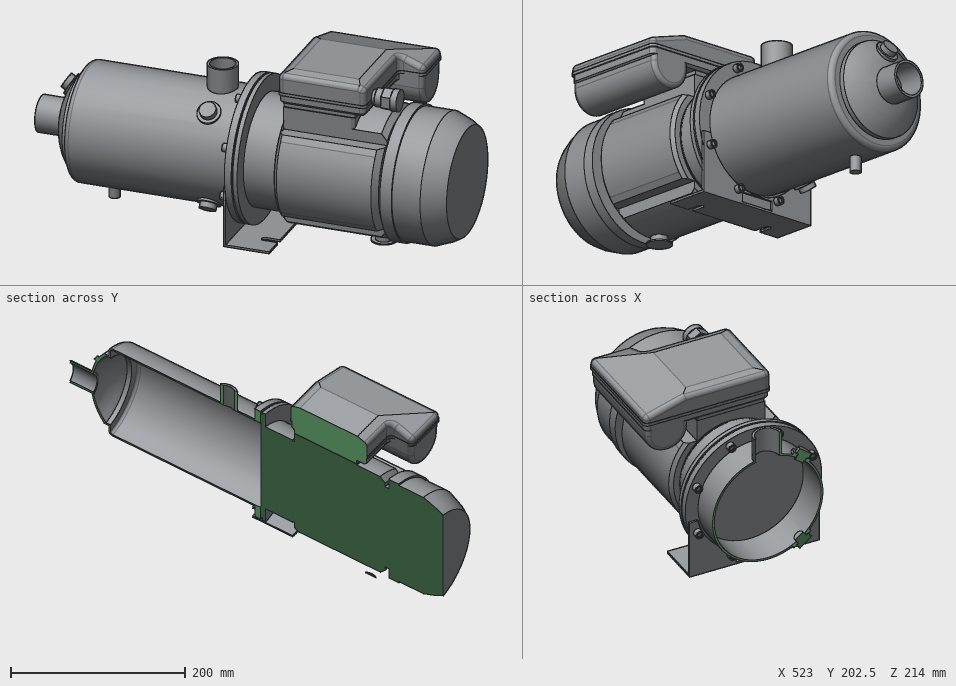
import cadquery as cq
import math


WALL = 2.9
INLET_DIAMETER = 44.5
DOME_START = 30.5
DOME_MIDDLE_X = 35.5
DOME_MIDDLE_RADIUS = 38.5
DOME_END = 47.5
DOME_DIAMETER = 116.0
SHELL_START = 54.0
SHELL_RADIUS = 71.5
SHELL_ROUND = 6.5
FLANGE_START = 258.5
FLANGE_DIAMETER = 176.5
CASING_END = 267.0
OUTLET_X = 223.0
OUTLET_DIAMETER = 36.0
OUTLET_TOP = 100.0
DRAIN_X = 90.0
DRAIN_DIAMETER = 13.0

BOLT_COUNT = 8
BOLT_CIRCLE_RADIUS = 80.0
BOLT_DIAMETER = 7.0
BOLT_HEAD_DIAMETER = 10.0
BOLT_HEAD_HEIGHT = 7.0
BOLT_SOCKET_DIAMETER = 7.0
BOLT_SOCKET_DEPTH = 2.0

PLUG_BOSS_DIAMETER = 28.0
PLUG_BOSS_HEIGHT = 1.5
PLUG_HOLE_DIAMETER = 13.0
PLUG_HEAD_DIAMETER = 20.0
PLUG_HEAD_HEIGHT = 7.0
PLUG_DEPTH = 6.5
SIDE_PLUG_ANGLE = 52
DOME_PLUG_X = 37.5
DOME_PLUG_Z = 43.0
DOME_PLUG_ANGLE = 32

GROUND_Z = -90.0
SHEET = 2.5
BRACKET_WIDTH = 167.5
BRACKET_TOP = -15.0
BRACKET_END = 312.0
BRACKET_BORE_RADIUS = SHELL_RADIUS + 2.5
WINDOW_WIDTH = 46.5
WINDOW_TOP = -75.5
SLOT_WIDTH = 8.0
SLOT_LENGTH = 21.0
SLOT_Y = 52.5

SEAM = 2.0
SEAM_DIAMETER = 170.0
MOTOR_FLANGE_END = 274.0
ADAPTER_DIAMETER = 135.5
ADAPTER_END = 312.0
CORE_DIAMETER = 133.0
FRAME_START = 314.5
FRAME_END = 441.5
FRAME_RADIUS = 78.5
FRAME_START_CHAMFER = 4.0
FRAME_END_CHAMFER = 7.0
RIB_HALF_WIDTH = 44.0
SHELF_Z = 51.5
BEVEL_Z = 44.5
PEDESTAL_END = 402.0
PEDESTAL_ROUND = 3.0
PEDESTAL_TOP = 79.0
FAN_BAND_START = 446.5
FAN_BAND_END = 461.0
FAN_BAND_RADIUS = 81.0
FAN_RADIUS = 79.0
FAN_TAPER_START = 495.5
FAN_TAPER_MIDDLE_X = 510.0
FAN_TAPER_MIDDLE_RADIUS = 74.0
FAN_END = 523.0
FAN_END_RADIUS = 66.5

FOOT_X = 421.0
FOOT_NECK_DIAMETER = 10.0
FOOT_DIAMETER = 20.5
FOOT_TOP = -80.5
FOOT_PLATE_DIAMETER = 30.5
FOOT_PLATE_THICKNESS = 1.5

BOX_START = 308.5
BOX_END = 417.0
BOX_WING_END = 449.0
BOX_FRONT_Y = -49.0
BOX_WIDTH_BEYOND_FLANGE = 202.5
BOX_BACK_Y = BOX_WIDTH_BEYOND_FLANGE - FLANGE_DIAMETER / 2
WING_FRONT_Y = 57.5
BOX_CORNER_RADIUS = 6.5
BASE_INSET = 1.5
BASE_CHAMFER = 3.0
BASE_BOTTOM = 84.0
RIM_BOTTOM = 95.0
LID_BOTTOM = 99.0
LID_INSET = 0.5
LID_TOP = 124.0
ROOF_START = 322.0
ROOF_END = 403.0
ROOF_FRONT_Y = -32.5
ROOF_BACK_Y = 54.5
START_DROP = 3.5
FRONT_DROP = 3.0
BACK_DROP = 17.5
WING_DROP = 18.0
HOUSING_RADIUS = 26.5
HOUSING_CENTRE_Z = 79.5
HOUSING_ROUND = 5.0

GLAND_Y = -20.5
GLAND_Z = 99.0
GLAND_NECK_DIAMETER = 18.0
GLAND_COLLAR_START = 420.5
GLAND_COLLAR_DIAMETER = 22.0
GLAND_NUT_DIAMETER = 27.0
GLAND_NUT_START = 429.0
GLAND_NUT_END = 440.5
GLAND_CAP_DIAMETER = 26.0
GLAND_END = 448.5


def x_cylinder(start, end, diameter, y=0.0, z=0.0):
    """Cylinder along X between two X positions."""
    return cq.Workplane("YZ", origin=(start, y, z)).circle(diameter / 2).extrude(end - start)


def z_cylinder(x, bottom, top, diameter):
    """Cylinder along Z on the plane of symmetry."""
    return cq.Workplane("XY", origin=(x, 0, bottom)).circle(diameter / 2).extrude(top - bottom)


def block(x_range, y_range, z_range):
    """Axis-aligned box from its three pairs of limits."""
    size = [b - a for a, b in (x_range, y_range, z_range)]
    corner = (x_range[0], y_range[0], z_range[0])
    return cq.Workplane("XY").box(*size, centered=False).translate(corner)


def revolve_about_x(profile):
    """Turn a closed profile, drawn as X and radius, about the shaft axis."""
    return profile.close().revolve(360, (0, 0, 0), (1, 0, 0))


def bolt_points():
    """Y and Z of each flange bolt."""
    step = 360 / BOLT_COUNT
    angles = [math.radians(step * (i + 0.5)) for i in range(BOLT_COUNT)]
    return [(BOLT_CIRCLE_RADIUS * math.cos(a), BOLT_CIRCLE_RADIUS * math.sin(a)) for a in angles]


def plug_planes():
    """Seat planes of the plugs, on the casing surface with the normal pointing outward."""
    planes = []
    for angle in (SIDE_PLUG_ANGLE, -SIDE_PLUG_ANGLE):
        y = -math.cos(math.radians(angle))
        z = math.sin(math.radians(angle))
        seat = (OUTLET_X, SHELL_RADIUS * y, SHELL_RADIUS * z)
        planes.append(cq.Plane(origin=seat, xDir=(1, 0, 0), normal=(0, y, z)))
    tilt = math.radians(DOME_PLUG_ANGLE)
    dome_normal = (-math.cos(tilt), 0, math.sin(tilt))
    dome_seat = (DOME_PLUG_X, 0, DOME_PLUG_Z)
    planes.append(cq.Plane(origin=dome_seat, xDir=(0, 1, 0), normal=dome_normal))
    return planes


def casing_form(inset):
    """Dome, neck and shell as one turned solid, shrunk inward by the given inset."""
    shell = SHELL_RADIUS - inset
    shell_start = SHELL_START + inset
    corner = SHELL_ROUND - inset
    bend = corner * (1 - math.sqrt(0.5))
    dome_middle = (DOME_MIDDLE_X + inset, DOME_MIDDLE_RADIUS - inset / 2)
    dome_radius = DOME_DIAMETER / 2 - inset
    profile = (
        cq.Workplane("XY")
        .moveTo(DOME_START + inset, 0)
        .lineTo(DOME_START + inset, INLET_DIAMETER / 2)
        .threePointArc(dome_middle, (DOME_END + inset, dome_radius))
        .lineTo(shell_start, dome_radius)
        .lineTo(shell_start, shell - corner)
        .threePointArc((shell_start + bend, shell - bend), (shell_start + corner, shell))
        .lineTo(CASING_END, shell)
        .lineTo(CASING_END, 0)
    )
    return revolve_about_x(profile)


def make_casing():
    """Hollow shell with flange, pipes, plug bosses and the flange bolts."""
    casing = casing_form(0)
    casing = casing.union(x_cylinder(FLANGE_START, CASING_END, FLANGE_DIAMETER))
    casing = casing.union(x_cylinder(0, DOME_END, INLET_DIAMETER))
    casing = casing.union(z_cylinder(OUTLET_X, 0, OUTLET_TOP, OUTLET_DIAMETER))
    casing = casing.union(z_cylinder(DRAIN_X, GROUND_Z, 0, DRAIN_DIAMETER))
    for plane in plug_planes():
        boss = cq.Workplane(plane).workplane(offset=-PLUG_DEPTH).circle(PLUG_BOSS_DIAMETER / 2)
        casing = casing.union(boss.extrude(PLUG_DEPTH + PLUG_BOSS_HEIGHT))
    casing = casing.cut(casing_form(WALL))
    casing = casing.cut(x_cylinder(0, DOME_END, INLET_DIAMETER - 2 * WALL))
    casing = casing.cut(z_cylinder(OUTLET_X, 0, OUTLET_TOP, OUTLET_DIAMETER - 2 * WALL))
    for plane in plug_planes():
        hole = cq.Workplane(plane).workplane(offset=-PLUG_DEPTH).circle(PLUG_HOLE_DIAMETER / 2)
        casing = casing.cut(hole.extrude(PLUG_DEPTH + PLUG_BOSS_HEIGHT))
    for y, z in bolt_points():
        head_base = FLANGE_START - SHEET if z < BRACKET_TOP else FLANGE_START
        head_top = head_base - BOLT_HEAD_HEIGHT
        casing = casing.union(x_cylinder(head_base, CASING_END, BOLT_DIAMETER, y, z))
        casing = casing.union(x_cylinder(head_top, head_base, BOLT_HEAD_DIAMETER, y, z))
        casing = casing.cut(x_cylinder(head_top, head_top + BOLT_SOCKET_DEPTH, BOLT_SOCKET_DIAMETER, y, z))
    return casing


def make_plug(plane):
    """Round-headed plug standing in one of the casing bosses."""
    shank = (
        cq.Workplane(plane).workplane(offset=-PLUG_DEPTH)
        .circle(PLUG_HOLE_DIAMETER / 2).extrude(PLUG_DEPTH + PLUG_BOSS_HEIGHT)
    )
    head = (
        cq.Workplane(plane).workplane(offset=PLUG_BOSS_HEIGHT)
        .circle(PLUG_HEAD_DIAMETER / 2).extrude(PLUG_HEAD_HEIGHT)
    )
    return shank.union(head)


def make_bracket():
    """Bent sheet foot with a window above the bend and two open slots in the base."""
    front = FLANGE_START - SHEET
    sides = (-BRACKET_WIDTH / 2, BRACKET_WIDTH / 2)
    sheet_z = (GROUND_Z, GROUND_Z + SHEET)
    upright = block((front, FLANGE_START), sides, (GROUND_Z, BRACKET_TOP))
    upright = upright.cut(x_cylinder(front, FLANGE_START, 2 * BRACKET_BORE_RADIUS))
    for y, z in bolt_points():
        if z < BRACKET_TOP:
            upright = upright.cut(x_cylinder(front, FLANGE_START, BOLT_DIAMETER, y, z))
    base = block((front, BRACKET_END), sides, sheet_z)
    window = block(
        (front, FLANGE_START), (-WINDOW_WIDTH / 2, WINDOW_WIDTH / 2), (GROUND_Z + SHEET, WINDOW_TOP)
    )
    bracket = upright.cut(window).union(base)
    slot_round_x = BRACKET_END - SLOT_LENGTH + SLOT_WIDTH / 2
    for y in (-SLOT_Y, SLOT_Y):
        slot_sides = (y - SLOT_WIDTH / 2, y + SLOT_WIDTH / 2)
        slot = block((slot_round_x, BRACKET_END), slot_sides, sheet_z)
        slot_end = z_cylinder(slot_round_x, *sheet_z, SLOT_WIDTH).translate((0, y, 0))
        bracket = bracket.cut(slot).cut(slot_end)
    return bracket


def make_frame():
    """Round motor frame with a groove and a bevel along each of its four corners."""
    frame = x_cylinder(FRAME_START, FRAME_END, 2 * FRAME_RADIUS)
    frame = frame.faces("<X").chamfer(FRAME_START_CHAMFER).faces(">X").chamfer(FRAME_END_CHAMFER)
    shelf_y = math.sqrt(FRAME_RADIUS ** 2 - SHELF_Z ** 2)
    bevel_y = math.sqrt(FRAME_RADIUS ** 2 - BEVEL_Z ** 2)
    for side in (-1, 1):
        for end in (-1, 1):
            groove = (
                cq.Workplane("YZ", origin=(FRAME_START, 0, 0))
                .polyline([
                    (side * RIB_HALF_WIDTH, end * SHELF_Z),
                    (side * shelf_y, end * SHELF_Z),
                    (side * bevel_y, end * BEVEL_Z),
                    (side * FRAME_RADIUS, end * BEVEL_Z),
                    (side * FRAME_RADIUS, end * FRAME_RADIUS),
                    (side * RIB_HALF_WIDTH, end * FRAME_RADIUS),
                ])
                .close().extrude(FRAME_END - FRAME_START)
            )
            frame = frame.cut(groove)
    return frame


def make_fan_cover():
    """Banded cover with a curved taper at its closed end."""
    profile = (
        cq.Workplane("XY")
        .moveTo(FAN_BAND_START, 0)
        .lineTo(FAN_BAND_START, FAN_BAND_RADIUS)
        .lineTo(FAN_BAND_END, FAN_BAND_RADIUS)
        .lineTo(FAN_BAND_END, FAN_RADIUS)
        .lineTo(FAN_TAPER_START, FAN_RADIUS)
        .threePointArc((FAN_TAPER_MIDDLE_X, FAN_TAPER_MIDDLE_RADIUS), (FAN_END, FAN_END_RADIUS))
        .lineTo(FAN_END, 0)
    )
    return revolve_about_x(profile)


def make_motor_foot():
    """Round foot hanging under the frame on a thin neck, with a flat ground plate."""
    neck = z_cylinder(FOOT_X, FOOT_TOP, -ADAPTER_DIAMETER / 2, FOOT_NECK_DIAMETER)
    pad = z_cylinder(FOOT_X, GROUND_Z, FOOT_TOP, FOOT_DIAMETER)
    plate = z_cylinder(FOOT_X, GROUND_Z, GROUND_Z + FOOT_PLATE_THICKNESS, FOOT_PLATE_DIAMETER)
    return neck.union(pad).union(plate)


def make_motor(terminal_box):
    """Motor flange, adapter, frame with box pedestal, fan cover and foot, recessed for the box."""
    motor = x_cylinder(CASING_END, CASING_END + SEAM, SEAM_DIAMETER)
    motor = motor.union(x_cylinder(CASING_END + SEAM, MOTOR_FLANGE_END, FLANGE_DIAMETER))
    motor = motor.union(x_cylinder(MOTOR_FLANGE_END, ADAPTER_END, ADAPTER_DIAMETER))
    motor = motor.union(x_cylinder(ADAPTER_END, FAN_BAND_START, CORE_DIAMETER))
    motor = motor.union(make_frame())
    pedestal = block((FRAME_START, PEDESTAL_END), (-RIB_HALF_WIDTH, RIB_HALF_WIDTH), (0, PEDESTAL_TOP))
    pedestal = pedestal.edges("|Z and >X").fillet(PEDESTAL_ROUND)
    motor = motor.union(pedestal).union(make_fan_cover()).union(make_motor_foot())
    return motor.cut(terminal_box)


def l_prism(inset, bottom, top):
    """L-shaped prism of the terminal box with its wing."""
    outline = [
        (BOX_START + inset, BOX_FRONT_Y + inset),
        (BOX_END - inset, BOX_FRONT_Y + inset),
        (BOX_END - inset, WING_FRONT_Y + inset),
        (BOX_WING_END - inset, WING_FRONT_Y + inset),
        (BOX_WING_END - inset, BOX_BACK_Y - inset),
        (BOX_START + inset, BOX_BACK_Y - inset),
    ]
    return cq.Workplane("XY", origin=(0, 0, bottom)).polyline(outline).close().extrude(top - bottom)


def roof_wedge(plane, ridge, edge, drop):
    """Triangular prism above a roof slope that falls by the drop from ridge to box edge."""
    half_length = 2 * BOX_WING_END
    wedge = cq.Workplane(plane).polyline([(ridge, LID_TOP), (edge, LID_TOP - drop), (edge, LID_TOP)])
    return wedge.close().extrude(half_length, both=True)


def make_lid():
    """Hip-roofed lid, rounded along its upright edges and around the rim of the roof."""
    lid = l_prism(LID_INSET, LID_BOTTOM, LID_TOP)
    lid = lid.cut(roof_wedge("XZ", ROOF_START, BOX_START, START_DROP))
    lid = lid.cut(roof_wedge("XZ", ROOF_END, BOX_WING_END, WING_DROP))
    lid = lid.cut(roof_wedge("YZ", ROOF_FRONT_Y, BOX_FRONT_Y, FRONT_DROP))
    lid = lid.cut(roof_wedge("YZ", ROOF_BACK_Y, BOX_BACK_Y, BACK_DROP))
    wall_edges = lid.faces("#Z").edges("not |Z").vals()
    rim_edges = [edge for edge in wall_edges if edge.Center().z > LID_BOTTOM + BOX_CORNER_RADIUS]
    return lid.newObject(rim_edges + lid.edges("|Z").vals()).fillet(BOX_CORNER_RADIUS)


def make_housing():
    """Round-bottomed housing hanging below the wing of the terminal box."""
    centre_y = WING_FRONT_Y + HOUSING_RADIUS
    back_y = centre_y + HOUSING_RADIUS
    housing = (
        cq.Workplane("YZ", origin=(BOX_START + BASE_INSET, 0, 0))
        .moveTo(WING_FRONT_Y, RIM_BOTTOM)
        .lineTo(WING_FRONT_Y, HOUSING_CENTRE_Z)
        .threePointArc((centre_y, HOUSING_CENTRE_Z - HOUSING_RADIUS), (back_y, HOUSING_CENTRE_Z))
        .lineTo(back_y, RIM_BOTTOM)
        .close().extrude(BOX_WING_END - BOX_START - 2 * BASE_INSET)
    )
    return housing.faces("<X or >X").edges("not >Z").fillet(HOUSING_ROUND)


def make_gland():
    """Cable gland with neck, hexagon nut and round cap."""
    neck = x_cylinder(BOX_END - BASE_CHAMFER, GLAND_COLLAR_START, GLAND_NECK_DIAMETER, GLAND_Y, GLAND_Z)
    collar = x_cylinder(GLAND_COLLAR_START, GLAND_NUT_START, GLAND_COLLAR_DIAMETER, GLAND_Y, GLAND_Z)
    nut = (
        cq.Workplane("YZ", origin=(GLAND_NUT_START, GLAND_Y, GLAND_Z))
        .polygon(6, GLAND_NUT_DIAMETER).extrude(GLAND_NUT_END - GLAND_NUT_START)
        .rotate((0, GLAND_Y, GLAND_Z), (1, GLAND_Y, GLAND_Z), 90)
    )
    cap = x_cylinder(GLAND_NUT_END, GLAND_END, GLAND_CAP_DIAMETER, GLAND_Y, GLAND_Z)
    return neck.union(collar).union(nut).union(cap)


def make_terminal_box():
    """Lid and rim on an inset base, with a round housing below the wing and a cable gland."""
    lid = make_lid()
    rim = l_prism(0, RIM_BOTTOM, LID_BOTTOM).edges("|Z").fillet(BOX_CORNER_RADIUS)

    base = l_prism(BASE_INSET, BASE_BOTTOM, RIM_BOTTOM).edges("|Z").fillet(BOX_CORNER_RADIUS)
    base = base.faces("<Z").chamfer(BASE_CHAMFER)

    collar_half_width = RIB_HALF_WIDTH - BASE_INSET
    collar = block(
        (FRAME_START, PEDESTAL_END), (-collar_half_width, collar_half_width), (PEDESTAL_TOP, RIM_BOTTOM)
    )
    return lid.union(rim).union(base).union(collar).union(make_housing()).union(make_gland())


casing = make_casing()
plugs = [make_plug(plane) for plane in plug_planes()]
bracket = make_bracket().cut(casing)
terminal_box = make_terminal_box()
motor = make_motor(terminal_box)

result = cq.Compound.makeCompound([
    casing.val(),
    *[plug.val() for plug in plugs],
    bracket.val(),
    motor.val(),
    terminal_box.val(),
])